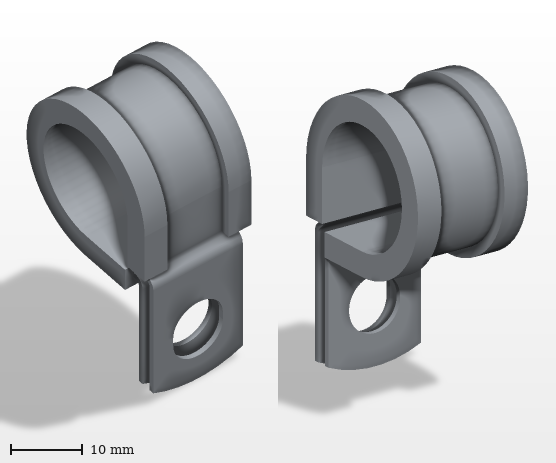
import cadquery as cq
import math

outer_radius = 13.4
liner_thickness = 3.85
inner_radius = outer_radius - liner_thickness
groove_radius = 11.85
cushion_width = 18.95
flange_width = 4.05
groove_width = cushion_width - 2 * flange_width
side_leg_end_z = -8.55
bottom_leg_end_x = 8.95

strap_thickness = 0.83
strap_width = 15.85
strap_mid_radius = groove_radius - strap_thickness / 2
bend_radius = 1.5 * strap_thickness
jog_angle = math.radians(45)
embed_length = 1.85
lower_bend_start_x = 9.3
side_tab_mid_x = outer_radius - strap_thickness / 2
tab_end_z = -32.45
tab_corner_z = -30.75
hole_z = -23.0
hole_diameter = 8.8
outer_slot_length = 10.2


def liner(radius, width):
    """Liner of the given outer radius, centred on Y = 0, open at the lower right."""
    arc_middle_angle = math.radians(135)

    def arc_middle(arc_radius):
        return arc_radius * math.cos(arc_middle_angle), arc_radius * math.sin(arc_middle_angle)

    profile = (
        cq.Workplane("XZ")
        .moveTo(radius, side_leg_end_z)
        .lineTo(radius, 0)
        .threePointArc(arc_middle(radius), (0, -radius))
        .lineTo(bottom_leg_end_x, -radius)
        .lineTo(bottom_leg_end_x, -inner_radius)
        .lineTo(0, -inner_radius)
        .threePointArc(arc_middle(inner_radius), (inner_radius, 0))
        .lineTo(inner_radius, side_leg_end_z)
        .close()
    )
    return profile.extrude(width / 2, both=True)


def flange(side):
    """End flange on the +Y (side = 1) or -Y (side = -1) end."""
    offset = side * (cushion_width - flange_width) / 2
    return liner(outer_radius, flange_width).translate((0, offset, 0))


def bottom_strap():
    """Strap leaving the bottom leg and turning down a quarter turn."""
    start_x = bottom_leg_end_x - embed_length
    tab_x = lower_bend_start_x + bend_radius
    path = (
        cq.Workplane("XZ")
        .moveTo(start_x, -strap_mid_radius)
        .lineTo(lower_bend_start_x, -strap_mid_radius)
        .tangentArcPoint((tab_x, -strap_mid_radius - bend_radius), relative=False)
        .lineTo(tab_x, tab_end_z)
    )
    section = cq.Workplane("YZ", origin=(start_x, 0, -strap_mid_radius))
    return section.rect(strap_width, strap_thickness).sweep(path)


def side_strap():
    """Strap leaving the side leg and jogging outward to the outer tab."""
    start_z = side_leg_end_z + embed_length
    bend_shift = bend_radius * (1 - math.cos(jog_angle))
    bend_drop = bend_radius * math.sin(jog_angle)
    slope_shift = side_tab_mid_x - strap_mid_radius - 2 * bend_shift
    slope_drop = slope_shift / math.tan(jog_angle)
    path = (
        cq.Workplane("XZ")
        .moveTo(strap_mid_radius, start_z)
        .lineTo(strap_mid_radius, side_leg_end_z)
        .tangentArcPoint((bend_shift, -bend_drop))
        .line(slope_shift, -slope_drop)
        .tangentArcPoint((bend_shift, -bend_drop))
        .lineTo(side_tab_mid_x, tab_end_z)
    )
    section = cq.Workplane("XY", origin=(strap_mid_radius, 0, start_z))
    return section.rect(strap_thickness, strap_width).sweep(path)


def tab_outline():
    """Block along X with the rounded tab end."""
    half_width = strap_width / 2
    return (
        cq.Workplane("YZ")
        .moveTo(-half_width, 0)
        .lineTo(-half_width, tab_corner_z)
        .threePointArc((0, tab_end_z), (half_width, tab_corner_z))
        .lineTo(half_width, 0)
        .close()
        .extrude(outer_radius)
    )


cushion = liner(groove_radius, groove_width).union(flange(1)).union(flange(-1))
hole_plane = cq.Workplane("YZ").center(0, hole_z)
round_hole = hole_plane.circle(hole_diameter / 2).extrude(outer_radius)
slot = hole_plane.slot2D(outer_slot_length, hole_diameter, 90).extrude(outer_radius)
inner_tab = bottom_strap().intersect(tab_outline()).cut(round_hole)
outer_tab = side_strap().intersect(tab_outline()).cut(slot)
result = cushion.union(inner_tab).union(outer_tab)